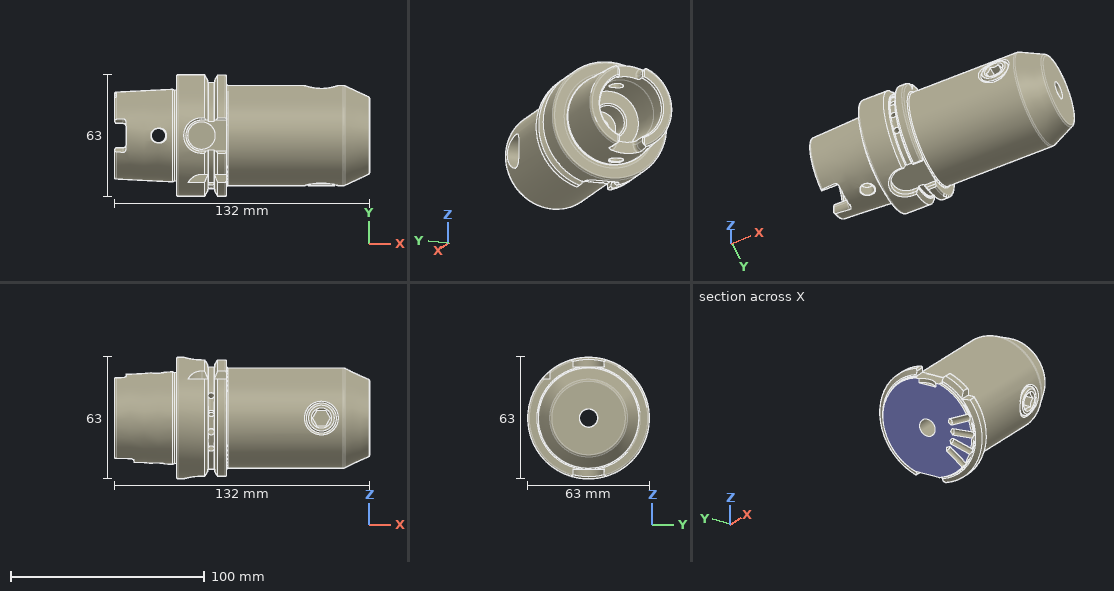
import cadquery as cq
import math


shank_length = 32.0
holder_length = 100.0
flange_length = 26.0
flange_radius = 31.5
body_radius = 26.0

shank_root_radius = 24.0
taper = 1.0 / 20.0
shank_end_round = 1.0
relief_start = 2.0
shank_end_radius = shank_root_radius - taper * (shank_length - relief_start)
relief_end = 1.0
relief_radius = 23.6
face_recess_radius = 25.3
face_recess_depth = 0.3

rim_round = 0.9
groove_x = 18.0
groove_floor_radius = 27.5
groove_floor_half = 1.75
groove_floor_round = 0.4
groove_top_half = 3.4
groove_slope_angle = 60.0
groove_slope_drop = (groove_top_half - groove_floor_half) * math.tan(math.radians(groove_slope_angle))
groove_slope_radius = flange_radius - groove_slope_drop
body_root_round = 0.7

nose_start_x = 86.7
nose_angle = 25.0
nose_end_radius = body_radius - (holder_length - nose_start_x) * math.tan(math.radians(nose_angle))
nose_start_round = 2.0
nose_end_round = 1.2

bore_radius = 17.0
bore_mouth_widening = 0.75
bore_mouth_length = 1.3
bore_straight_depth = 13.0
bore_bottom_radius = 15.9
bore_depth = 33.0
thread_radius = 8.5
thread_chamfer = 0.9
thread_depth = 14.0
coolant_radius = 4.65

drive_half_width = 6.25
drive_depth_top = 6.0
drive_depth_bottom = 10.0
drive_corner_round = 1.6
drive_flare_radius = 3.3
drive_flare_z = 17.8
drive_mouth_widening = 1.1
drive_mouth_length = 0.7

access_x = -9.2
access_radius = 3.7
access_chamfer = 0.5

keyway_floor_z = 26.5
keyway_half_width = 8.0
keyway_edge_chamfer = 1.2
keyway_centre_x = 13.0
recess_radius = 7.1
recess_depth = 2.2

notch_centre_x = 13.3
notch_radius = 8.2
notch_wall_y = -20.0
notch_floor_z = 20.2

balance_radius = 1.65
balance_depth = 12.0
balance_tip_angle = 118.0
balance_angles = [25.0, 5.0, -15.0, -35.0]

screw_x = 75.0
screw_radius = 7.75
screw_length = 16.0
screw_chamfer = 1.1
screw_hole_chamfer = 1.0
relief_hole_radius = 8.85
relief_hole_depth = 10.0
hex_across_flats = 8.0
hex_depth = 8.0
hex_mouth_radius = 5.25

clearance = 1.0
pick_margin = 0.1
match_tolerance = 0.01


def cylinder(start, direction, radius, length):
    return cq.Workplane(cq.Solid.makeCylinder(radius, length, cq.Vector(*start), cq.Vector(*direction)))


def cone(start, direction, start_radius, end_radius, length):
    return cq.Workplane(
        cq.Solid.makeCone(start_radius, end_radius, length, cq.Vector(*start), cq.Vector(*direction))
    )


def revolve_about_x(points):
    return cq.Workplane("XY").polyline(points).close().revolve(360, (0, 0, 0), (1, 0, 0))


def outer_shape():
    left_top = groove_x - groove_top_half
    left_floor = groove_x - groove_floor_half
    right_floor = groove_x + groove_floor_half
    right_top = groove_x + groove_top_half
    shape = revolve_about_x([
        (-shank_length, 0),
        (-shank_length, shank_end_radius),
        (-relief_start, shank_root_radius),
        (-relief_end, relief_radius),
        (face_recess_depth, relief_radius),
        (0, face_recess_radius),
        (0, flange_radius),
        (left_top, flange_radius),
        (left_floor, groove_slope_radius),
        (left_floor, groove_floor_radius),
        (right_floor, groove_floor_radius),
        (right_floor, groove_slope_radius),
        (right_top, flange_radius),
        (flange_length, flange_radius),
        (flange_length, body_radius),
        (nose_start_x, body_radius),
        (holder_length, nose_end_radius),
        (holder_length, 0),
    ])

    def round_circle(solid, x, radius, fillet):
        """Round the one circular edge that lies at this place along the axis with this radius."""
        rim = solid.edges("%CIRCLE").filter(
            lambda edge: abs(edge.Center().x - x) < match_tolerance and abs(edge.radius() - radius) < match_tolerance
        )
        return solid.newObject(rim.vals()).fillet(fillet)

    shape = round_circle(shape, 0, flange_radius, rim_round)
    shape = round_circle(shape, -shank_length, shank_end_radius, shank_end_round)
    shape = round_circle(shape, flange_length, flange_radius, rim_round)
    for side in (-1, 1):
        floor_edge_x = groove_x + side * groove_floor_half
        shape = round_circle(shape, floor_edge_x, groove_floor_radius, groove_floor_round)
    shape = round_circle(shape, flange_length, body_radius, body_root_round)
    shape = round_circle(shape, nose_start_x, body_radius, nose_start_round)
    shape = round_circle(shape, holder_length, nose_end_radius, nose_end_round)
    return shape


def axial_bores():
    bore_floor_x = bore_depth - shank_length
    thread_floor_x = bore_floor_x + thread_depth
    return revolve_about_x([
        (-shank_length, 0),
        (-shank_length, bore_radius + bore_mouth_widening),
        (-shank_length + bore_mouth_length, bore_radius),
        (-shank_length + bore_straight_depth, bore_radius),
        (bore_floor_x, bore_bottom_radius),
        (bore_floor_x, thread_radius + thread_chamfer),
        (bore_floor_x + thread_chamfer, thread_radius),
        (thread_floor_x, thread_radius),
        (thread_floor_x, coolant_radius),
        (holder_length, coolant_radius),
        (holder_length, 0),
    ])


def drive_slot(depth):
    """Slot cutter in the upper half of the shank end, open at the mouth."""
    flare_centre_y = drive_half_width + drive_flare_radius
    flare_top_z = drive_flare_z + drive_flare_radius
    flare_mid = drive_flare_radius * math.sqrt(0.5)
    flare_mid_y = flare_centre_y - flare_mid
    flare_mid_z = drive_flare_z + flare_mid
    top_z = shank_root_radius + clearance
    slot = (
        cq.Workplane("YZ", origin=(-shank_length, 0, 0))
        .moveTo(-drive_half_width, 0)
        .lineTo(drive_half_width, 0)
        .lineTo(drive_half_width, drive_flare_z)
        .threePointArc((flare_mid_y, flare_mid_z), (flare_centre_y, flare_top_z))
        .lineTo(flare_centre_y, top_z)
        .lineTo(-flare_centre_y, top_z)
        .lineTo(-flare_centre_y, flare_top_z)
        .threePointArc((-flare_mid_y, flare_mid_z), (-drive_half_width, drive_flare_z))
        .close()
        .extrude(depth)
    )
    flank_ends = cq.selectors.BoxSelector(
        (-shank_length + depth - pick_margin, -flare_centre_y - pick_margin, -pick_margin),
        (-shank_length + depth + pick_margin, flare_centre_y + pick_margin, flare_top_z + pick_margin),
        boundingbox=True,
    )
    bottom_end = cq.selectors.BoxSelector(
        (-shank_length + depth - pick_margin, -flare_centre_y, -pick_margin),
        (-shank_length + depth + pick_margin, flare_centre_y, pick_margin),
        boundingbox=True,
    )
    slot = slot.edges(cq.selectors.SubtractSelector(flank_ends, bottom_end)).fillet(drive_corner_round)
    mouth_half_width = drive_half_width + drive_mouth_widening
    mouth = (
        cq.Workplane("XY")
        .polyline([
            (-shank_length, -mouth_half_width),
            (-shank_length, mouth_half_width),
            (-shank_length + drive_mouth_length, drive_half_width),
            (-shank_length + drive_mouth_length, -drive_half_width),
        ])
        .close()
        .extrude(top_z)
    )
    return slot.union(mouth)


def cut_access_hole(solid):
    reach = shank_root_radius + clearance
    solid = solid.cut(cylinder((access_x, 0, -reach), (0, 0, 1), access_radius, 2 * reach))
    mouth_radius = access_radius + access_chamfer
    surface_z = shank_root_radius + taper * (access_x + relief_start)
    for side in (1, -1):
        mouth = cone((access_x, 0, side * surface_z), (0, 0, -side), mouth_radius, 0, mouth_radius)
        solid = solid.cut(mouth)
    return solid


def round_ended_channel(centre_x, centre_y, half_width, floor_z):
    """Upright channel cutter: round end toward the shank, open past the flange."""
    end_x = flange_length + clearance
    return (
        cq.Workplane("XY", origin=(0, 0, floor_z))
        .moveTo(end_x, centre_y - half_width)
        .lineTo(centre_x, centre_y - half_width)
        .threePointArc((centre_x - half_width, centre_y), (centre_x, centre_y + half_width))
        .lineTo(end_x, centre_y + half_width)
        .close()
        .extrude(flange_radius + clearance - floor_z)
    )


def keyway():
    """Keyway cutter with flared edges: what a chamfered channel takes out of a plain flange blank."""
    blank = cylinder((0, 0, 0), (1, 0, 0), flange_radius, flange_length + clearance)
    channel = round_ended_channel(keyway_centre_x, 0, keyway_half_width, keyway_floor_z)
    side_z = math.sqrt(flange_radius**2 - keyway_half_width**2)
    rim = cq.selectors.BoxSelector(
        (0, -keyway_half_width - pick_margin, side_z - pick_margin),
        (flange_length + clearance + pick_margin, keyway_half_width + pick_margin, flange_radius + pick_margin),
        boundingbox=True,
    )
    end_arc = cq.selectors.BoxSelector(
        (flange_length + clearance - pick_margin, -flange_radius, 0),
        (flange_length + clearance + pick_margin, flange_radius, flange_radius),
        boundingbox=True,
    )
    upper_edges = cq.selectors.SubtractSelector(rim, end_arc)
    chamfered = blank.cut(channel).edges(upper_edges).chamfer(keyway_edge_chamfer)
    return blank.cut(chamfered)


def balance_hole(angle):
    y = -math.cos(math.radians(angle))
    z = math.sin(math.radians(angle))
    floor_radius = groove_floor_radius - balance_depth
    floor_centre = (groove_x, y * floor_radius, z * floor_radius)
    tip_length = balance_radius / math.tan(math.radians(balance_tip_angle / 2))
    drill = cylinder(floor_centre, (0, y, z), balance_radius, balance_depth + clearance)
    return drill.union(cone(floor_centre, (0, -y, -z), balance_radius, 0, tip_length))


def make_holder():
    holder = outer_shape()

    holder = holder.cut(
        cylinder((screw_x, -body_radius - clearance, 0), (0, 1, 0), screw_radius, screw_length + clearance)
    )
    screw_hole_rim = cq.selectors.BoxSelector(
        (screw_x - screw_radius - pick_margin, -body_radius - pick_margin, -screw_radius - pick_margin),
        (screw_x + screw_radius + pick_margin, -body_radius + screw_length / 2, screw_radius + pick_margin),
        boundingbox=True,
    )
    holder = holder.edges(screw_hole_rim).chamfer(screw_hole_chamfer)

    holder = holder.cut(
        cylinder(
            (screw_x, body_radius + clearance, 0),
            (0, -1, 0),
            relief_hole_radius,
            relief_hole_depth + clearance,
        )
    )

    holder = holder.cut(axial_bores())
    holder = holder.cut(drive_slot(drive_depth_top))
    holder = holder.cut(drive_slot(drive_depth_bottom).mirror("XY"))
    holder = cut_access_hole(holder)

    holder = holder.cut(keyway())
    holder = holder.cut(keyway().mirror("XY"))
    holder = holder.cut(
        cylinder((keyway_centre_x, 0, keyway_floor_z), (0, 0, -1), recess_radius, recess_depth)
    )
    holder = holder.cut(
        round_ended_channel(notch_centre_x, notch_wall_y - notch_radius, notch_radius, notch_floor_z)
    )
    for angle in balance_angles:
        holder = holder.cut(balance_hole(angle))
    return holder


def make_screw():
    outer_y = -body_radius
    screw = cylinder((screw_x, outer_y, 0), (0, 1, 0), screw_radius, screw_length)
    screw = screw.faces("<Y").chamfer(screw_chamfer)
    hex_corner_radius = hex_across_flats / math.sqrt(3)
    socket = (
        cq.Workplane("XZ", origin=(screw_x, outer_y, 0))
        .polygon(6, 2 * hex_corner_radius)
        .extrude(-hex_depth)
    )
    socket_mouth = cone(
        (screw_x, outer_y, 0), (0, 1, 0), hex_mouth_radius, 0, hex_mouth_radius
    )
    return screw.cut(socket).cut(socket_mouth)


holder = make_holder()
screw = make_screw()
result = cq.Compound.makeCompound([holder.val(), screw.val()])